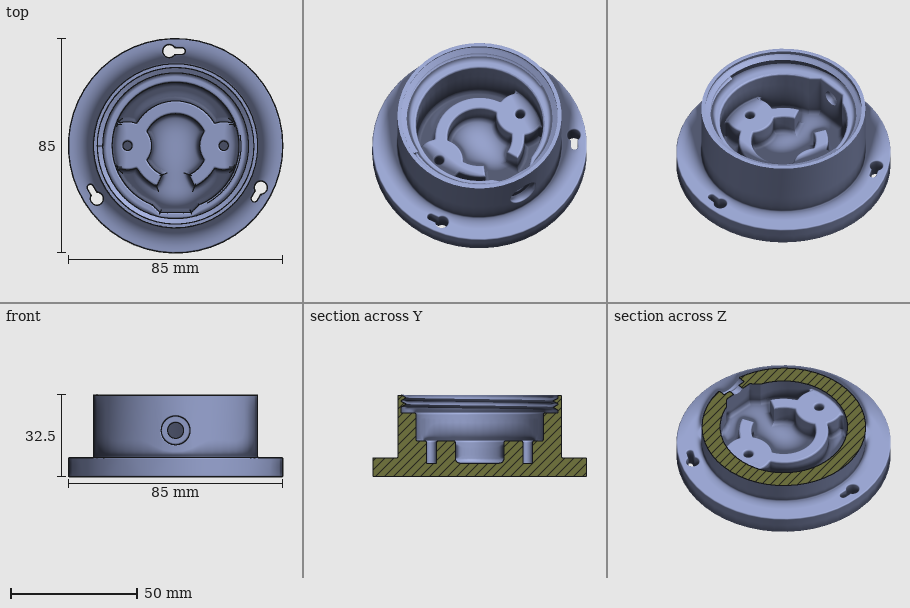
import cadquery as cq
import math

SELECT_TOLERANCE = 0.01

FLANGE_DIAMETER = 85.0
FLANGE_HEIGHT = 7.62
FLANGE_EDGE_RADIUS = 0.5
BODY_DIAMETER = 65.0
BODY_HEIGHT = 32.385
BODY_FOOT_RADIUS = 0.5

MOUTH_DIAMETER = 62.0
LEDGE_Z = 25.4
THREAD_TOP_Z = 32.54
THREAD_PITCH = 2.54
THREAD_TURNS = 1.5
THREAD_CREST_RADIUS = 28.9
THREAD_ROOT_HEIGHT = 2.4
THREAD_EMBED = 0.05

CAVITY_RADIUS = 25.15
FLOOR_Z = 5.5
FLOOR_FILLET = 1.78
EDGE_FILLET = 0.76
NOTCH_WALL_Y = -26.5
NOTCH_HALF_WIDTH = 6.14
NOTCH_FLARE = 8.0

ISLAND_TOP_Z = 14.3
RING_OUTER_RADIUS = 17.78
RING_INNER_RADIUS = 12.7
RING_GAP_HALF_ANGLE = 25.0
BOSS_X = 19.05
BOSS_RADIUS = 9.525
ISLAND_CORNER_RADIUS = 0.5
BOSS_FLARE_RADIUS = 1.02
BOSS_WALL_FILLET = 0.6
BOSS_WALL_OVERLAP = 0.02
BOSS_HOLE_DIAMETER = 3.68

ENTRY_Z = 18.42
ENTRY_DIAMETER = 6.35
ENTRY_BORE_DIAMETER = 11.43
ENTRY_BORE_DEPTH = 3.46
ENTRY_EDGE_RADIUS = 0.38

KEYHOLE_COUNT = 3
KEYHOLE_RADIUS = 37.5
KEYHOLE_HALF_SPACING = 2.54
KEYHOLE_HEAD_DIAMETER = 5.08
KEYHOLE_SLOT_WIDTH = 2.54
KEYHOLE_EDGE_RADIUS = 0.5


def disc(radius, z_bottom, z_top):
    """Upright cylinder about the Z axis."""
    return cq.Workplane("XY").workplane(offset=z_bottom).circle(radius).extrude(z_top - z_bottom)


def slab(half_x, half_y, z_low, z_high):
    """Selector for everything centred inside a box that is symmetric about the Z axis."""
    return cq.selectors.BoxSelector((-half_x, -half_y, z_low), (half_x, half_y, z_high))


def edges_at(z, reach):
    """Selector for the edges lying at height z within the given reach of the Z axis."""
    return slab(reach, reach, z - SELECT_TOLERANCE, z + SELECT_TOLERANCE)


def make_body():
    """Flange with the round wall standing on it, blended at the foot."""
    flange = disc(FLANGE_DIAMETER / 2, 0, FLANGE_HEIGHT).edges().fillet(FLANGE_EDGE_RADIUS)
    body = flange.union(disc(BODY_DIAMETER / 2, 0, BODY_HEIGHT))
    foot = body.edges(edges_at(FLANGE_HEIGHT, FLANGE_DIAMETER)).edges(cq.selectors.RadiusNthSelector(0))
    return foot.fillet(BODY_FOOT_RADIUS)


def make_island():
    """Open ring with a screw boss on each side, each boss reaching into the cavity wall."""
    height = ISLAND_TOP_Z - FLOOR_Z
    plane = cq.Workplane("XY").workplane(offset=FLOOR_Z)
    ring = plane.circle(RING_OUTER_RADIUS).circle(RING_INNER_RADIUS).extrude(height)
    reach = 2 * RING_OUTER_RADIUS
    half_gap = reach * math.tan(math.radians(RING_GAP_HALF_ANGLE))
    gap = plane.polyline([(0, 0), (-half_gap, -reach), (half_gap, -reach)]).close().extrude(height)
    island = ring.cut(gap)
    for side in (-1, 1):
        boss = plane.center(side * BOSS_X, 0).circle(BOSS_RADIUS).extrude(height)
        island = island.union(boss)
    corners = slab(RING_OUTER_RADIUS, BOSS_RADIUS, FLOOR_Z, ISLAND_TOP_Z)
    return island.edges("|Z").edges(corners).fillet(ISLAND_CORNER_RADIUS)


def make_cavity():
    """Void below the ledge: round pocket and flat-bottomed notch around the island."""
    plane = cq.Workplane("XY").workplane(offset=FLOOR_Z)
    notch_inner_y = NOTCH_WALL_Y + NOTCH_FLARE
    notch_inner_half = NOTCH_HALF_WIDTH + NOTCH_FLARE
    notch = (
        plane.moveTo(-NOTCH_HALF_WIDTH, NOTCH_WALL_Y)
        .lineTo(NOTCH_HALF_WIDTH, NOTCH_WALL_Y)
        .lineTo(notch_inner_half, notch_inner_y)
        .lineTo(-notch_inner_half, notch_inner_y)
        .close()
        .extrude(LEDGE_Z - FLOOR_Z)
    )
    cavity = disc(CAVITY_RADIUS, FLOOR_Z, LEDGE_Z).union(notch).cut(make_island())
    cavity = cavity.faces("<Z").edges().fillet(FLOOR_FILLET)
    return cavity.edges(edges_at(ISLAND_TOP_Z, BOSS_X + BOSS_RADIUS / 2)).fillet(EDGE_FILLET)


def cut_cavity(body):
    """Open the mouth and the cavity, then round the edge between ledge and cavity."""
    mouth_radius = MOUTH_DIAMETER / 2
    body = body.cut(disc(mouth_radius, LEDGE_Z, BODY_HEIGHT)).cut(make_cavity())
    inner_edges = [
        edge
        for edge in body.edges(edges_at(LEDGE_Z, mouth_radius)).vals()
        if edge.geomType() != "CIRCLE" or edge.radius() < mouth_radius - SELECT_TOLERANCE
    ]
    return body.newObject(inner_edges).fillet(EDGE_FILLET)


def make_thread():
    """Right-handed triangular ridge that starts at +X and climbs to end at -X."""
    root = MOUTH_DIAMETER / 2 + THREAD_EMBED
    half = THREAD_ROOT_HEIGHT / 2
    rise = THREAD_PITCH * THREAD_TURNS
    start_z = THREAD_TOP_Z - half - rise
    profile = (
        cq.Workplane("XZ")
        .polyline([(root, -half), (THREAD_CREST_RADIUS, 0), (root, half)])
        .close()
    )
    helix = cq.Wire.makeHelix(THREAD_PITCH, rise, MOUTH_DIAMETER / 2)
    return profile.sweep(cq.Workplane(helix), isFrenet=True).translate((0, 0, start_z))


def hole_with_rounded_mouth(diameter, depth, edge_radius):
    """Cutter going down from z = 0 whose mouth flares out with a convex round."""
    radius = diameter / 2
    arc_shift = edge_radius * (1 - math.sqrt(0.5))
    half_section = (
        cq.Workplane("XZ")
        .lineTo(radius + edge_radius, 0)
        .threePointArc((radius + arc_shift, -arc_shift), (radius, -edge_radius))
        .lineTo(radius, -depth)
        .lineTo(0, -depth)
        .close()
    )
    return half_section.revolve(360, (0, 0, 0), (0, 1, 0))


def add_boss_wall_blends(body):
    """Blend each boss into the cavity wall: a flare at both sides and a fillet along the top."""
    flare = BOSS_FLARE_RADIUS
    to_boss = BOSS_RADIUS + flare
    to_center = CAVITY_RADIUS + BOSS_WALL_OVERLAP - flare
    axis_x = (to_center**2 + BOSS_X**2 - to_boss**2) / (2 * BOSS_X)
    axis_y = math.sqrt(to_center**2 - axis_x**2)
    inner_share = (BOSS_RADIUS - EDGE_FILLET) / to_boss
    inner_x = BOSS_X + (axis_x - BOSS_X) * inner_share
    inner_y = axis_y * inner_share
    wall_reach = CAVITY_RADIUS + flare
    outer_share = wall_reach / to_center
    height = ISLAND_TOP_Z - FLOOR_Z
    floor_plane = cq.Workplane("XY").workplane(offset=FLOOR_Z)

    corner = (
        floor_plane.moveTo(inner_x, inner_y)
        .lineTo(wall_reach, inner_y)
        .lineTo(axis_x * outer_share, axis_y * outer_share)
        .lineTo(axis_x, axis_y)
        .close()
        .extrude(height)
    )
    clearance = hole_with_rounded_mouth(2 * flare, height, EDGE_FILLET)
    corner = corner.cut(clearance.translate((axis_x, axis_y, ISLAND_TOP_Z)))

    fillet_inner = CAVITY_RADIUS - BOSS_WALL_FILLET
    fillet_top = ISLAND_TOP_Z + BOSS_WALL_FILLET
    arc_rise = BOSS_WALL_FILLET * (1 - math.sqrt(0.5))
    top_fillet = (
        cq.Workplane("XZ")
        .moveTo(fillet_inner, ISLAND_TOP_Z)
        .threePointArc((CAVITY_RADIUS - arc_rise, ISLAND_TOP_Z + arc_rise), (CAVITY_RADIUS, fillet_top))
        .lineTo(wall_reach, fillet_top)
        .lineTo(wall_reach, ISLAND_TOP_Z - BOSS_WALL_FILLET)
        .lineTo(fillet_inner, ISLAND_TOP_Z - BOSS_WALL_FILLET)
        .close()
        .revolve(360, (0, 0, 0), (0, 1, 0))
    )
    extent = cq.Workplane("XY").box(wall_reach, 2 * axis_y, 2 * LEDGE_Z).translate((wall_reach, 0, 0))
    top_fillet = top_fillet.intersect(extent)
    trimmer = disc(flare + EDGE_FILLET, 0, LEDGE_Z)
    for side in (-1, 1):
        top_fillet = top_fillet.cut(trimmer.translate((axis_x, side * axis_y, 0)))

    blend = top_fillet.union(corner).union(corner.mirror("XZ"))
    blend = blend.intersect(disc(CAVITY_RADIUS + flare / 2, FLOOR_Z, LEDGE_Z))
    return body.union(blend).union(blend.mirror("YZ"))


def boss_holes():
    """Blind screw hole in each boss."""
    hole = hole_with_rounded_mouth(BOSS_HOLE_DIAMETER, ISLAND_TOP_Z - FLOOR_Z, EDGE_FILLET)
    left = hole.translate((-BOSS_X, 0, ISLAND_TOP_Z))
    right = hole.translate((BOSS_X, 0, ISLAND_TOP_Z))
    return left.union(right)


def cut_cable_entry(body):
    """Counterbored hole through the wall into the notch."""
    wall_y = -BODY_DIAMETER / 2
    bore_floor_y = wall_y + ENTRY_BORE_DEPTH
    start = cq.Workplane("XZ", origin=(0, wall_y, ENTRY_Z))
    bore = start.circle(ENTRY_BORE_DIAMETER / 2).extrude(-ENTRY_BORE_DEPTH)
    body = body.cut(bore)
    bore_rim = cq.selectors.BoxSelector(
        (-ENTRY_BORE_DIAMETER, wall_y - 1, ENTRY_Z - ENTRY_BORE_DIAMETER),
        (ENTRY_BORE_DIAMETER, bore_floor_y - SELECT_TOLERANCE, ENTRY_Z + ENTRY_BORE_DIAMETER),
        boundingbox=True,
    )
    body = body.edges(bore_rim).edges("not %LINE").fillet(ENTRY_EDGE_RADIUS)
    hole_depth = NOTCH_WALL_Y - bore_floor_y + FLOOR_FILLET
    hole = hole_with_rounded_mouth(ENTRY_DIAMETER, hole_depth, ENTRY_EDGE_RADIUS)
    hole = hole.rotate((0, 0, 0), (1, 0, 0), 90).translate((0, bore_floor_y, ENTRY_Z))
    return body.cut(hole)


def keyhole_cutter():
    """Keyhole through the flange near +Y, round head towards -X and slot towards +X."""
    head = hole_with_rounded_mouth(KEYHOLE_HEAD_DIAMETER, FLANGE_HEIGHT, KEYHOLE_EDGE_RADIUS)
    slot_end = hole_with_rounded_mouth(KEYHOLE_SLOT_WIDTH, FLANGE_HEIGHT, KEYHOLE_EDGE_RADIUS)
    half_width = KEYHOLE_SLOT_WIDTH / 2
    edge = KEYHOLE_EDGE_RADIUS
    arc_shift = edge * (1 - math.sqrt(0.5))
    slot = (
        cq.Workplane("YZ", origin=(-KEYHOLE_HALF_SPACING, 0, 0))
        .moveTo(-half_width - edge, 0)
        .lineTo(half_width + edge, 0)
        .threePointArc((half_width + arc_shift, -arc_shift), (half_width, -edge))
        .lineTo(half_width, -FLANGE_HEIGHT)
        .lineTo(-half_width, -FLANGE_HEIGHT)
        .lineTo(-half_width, -edge)
        .threePointArc((-half_width - arc_shift, -arc_shift), (-half_width - edge, 0))
        .close()
        .extrude(2 * KEYHOLE_HALF_SPACING)
    )
    keyhole = head.translate((-KEYHOLE_HALF_SPACING, 0, 0)).union(slot)
    keyhole = keyhole.union(slot_end.translate((KEYHOLE_HALF_SPACING, 0, 0)))
    return keyhole.translate((0, KEYHOLE_RADIUS, FLANGE_HEIGHT))


result = cut_cavity(make_body())
result = add_boss_wall_blends(result)
result = cut_cable_entry(result)
result = result.cut(boss_holes())
for index in range(KEYHOLE_COUNT):
    result = result.cut(keyhole_cutter().rotate((0, 0, 0), (0, 0, 1), index * 360 / KEYHOLE_COUNT))
result = result.union(make_thread())